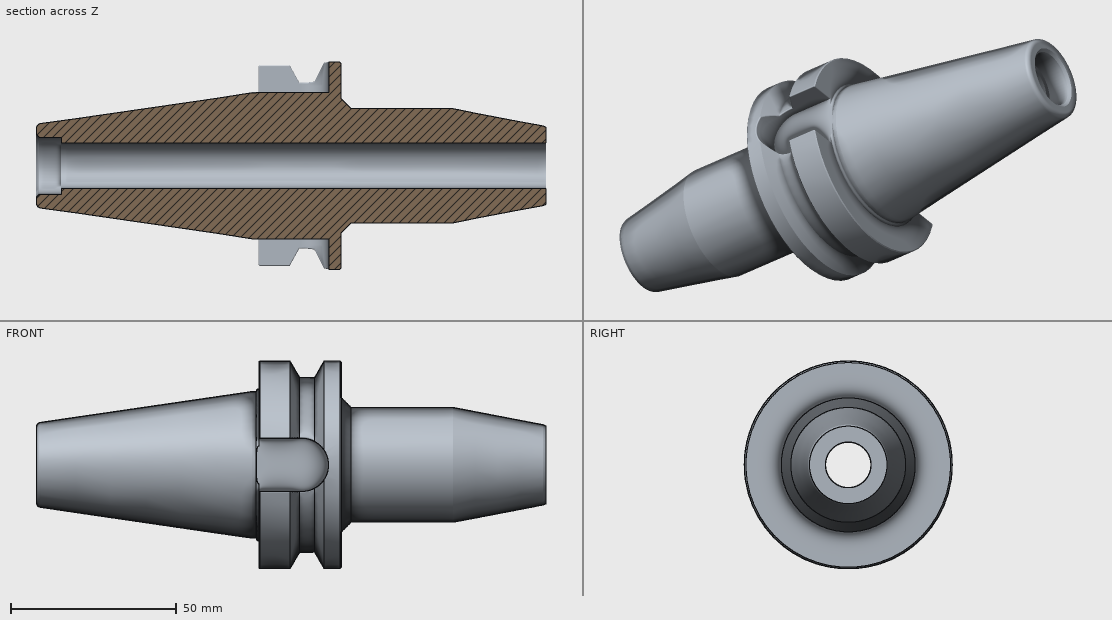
import cadquery as cq
import math


taper_length = 65.4
gauge_diameter = 44.45
taper_ratio = 7 / 24
taper_end_round = 1.5
neck_length = 2.0
neck_fillet = 0.8

flange_diameter = 63.0
flange_width = 25.0
edge_break = 0.3
nose_side_rim_chamfer = 0.5
groove_floor_diameter = 53.0
groove_floor_width = 4.6
groove_center_offset = 14.6
groove_side_angle = 30.0

slot_width = 16.1
slot_depth_along_axis = 21.1
slot_floor_height = 22.3

nose_diameter = 34.8
nose_tip_diameter = 24.3
collar_chamfer = 2.9
nose_straight_end = 126.2
total_length = 154.4
nose_tip_chamfer_length = 0.9
nose_tip_chamfer_depth = 0.4

entry_bore_diameter = 17.15
entry_bore_depth = 7.6
entry_chamfer = 0.85
through_bore_diameter = 13.72

taper_end_radius = (gauge_diameter - taper_length * taper_ratio) / 2
flange_start = taper_length + neck_length
flange_end = flange_start + flange_width
gauge_radius = gauge_diameter / 2
flange_radius = flange_diameter / 2
groove_floor_radius = groove_floor_diameter / 2
groove_center = flange_start + groove_center_offset
groove_side_run = (flange_radius - groove_floor_radius) * math.tan(math.radians(groove_side_angle))
groove_floor_half = groove_floor_width / 2
groove_mouth_half = groove_floor_half + groove_side_run
nose_radius = nose_diameter / 2


def revolve_about_x(profile):
    """Turn a closed profile in the XZ plane a full turn about the X axis."""
    return profile.close().revolve(360, (0, 0, 0), (1, 0, 0))


def make_body():
    """Taper, grooved flange and nose as one turned solid."""
    profile = (
        cq.Workplane("XZ")
        .moveTo(0, 0)
        .lineTo(0, taper_end_radius)
        .lineTo(taper_length, gauge_radius)
        .lineTo(flange_start - neck_fillet, gauge_radius)
        .radiusArc((flange_start, gauge_radius + neck_fillet), neck_fillet)
        .lineTo(flange_start, flange_radius - edge_break)
        .lineTo(flange_start + edge_break, flange_radius)
        .lineTo(groove_center - groove_mouth_half, flange_radius)
        .lineTo(groove_center - groove_floor_half, groove_floor_radius)
        .lineTo(groove_center + groove_floor_half, groove_floor_radius)
        .lineTo(groove_center + groove_mouth_half, flange_radius)
        .lineTo(flange_end - nose_side_rim_chamfer, flange_radius)
        .lineTo(flange_end, flange_radius - nose_side_rim_chamfer)
        .lineTo(flange_end, nose_radius + collar_chamfer)
        .lineTo(flange_end + collar_chamfer, nose_radius)
        .lineTo(nose_straight_end, nose_radius)
        .lineTo(total_length - nose_tip_chamfer_length, nose_tip_diameter / 2)
        .lineTo(total_length, nose_tip_diameter / 2 - nose_tip_chamfer_depth)
        .lineTo(total_length, 0)
    )
    return revolve_about_x(profile).faces("<X").edges().fillet(taper_end_round)


def make_drive_slot(side):
    """Round-ended cutter for the slot on the +Y (side = 1) or -Y (side = -1) side."""
    slot_half = slot_width / 2
    arc_center = flange_start + slot_depth_along_axis - slot_half
    outline = (
        cq.Workplane("XZ", origin=(0, side * slot_floor_height, 0))
        .moveTo(taper_length, -slot_half)
        .lineTo(arc_center, -slot_half)
        .threePointArc((arc_center + slot_half, 0), (arc_center, slot_half))
        .lineTo(taper_length, slot_half)
        .close()
    )
    return outline.extrude(-side * flange_radius)


def break_slot_edges(body, side):
    """Round the open edges of one drive slot, leaving its floor corners sharp."""
    slot_half = slot_width / 2
    floor_clearance = edge_break / 2
    slot_region = cq.selectors.BoxSelector(
        (taper_length, side * (slot_floor_height + floor_clearance), -slot_half - edge_break),
        (flange_end - nose_side_rim_chamfer, side * (flange_radius + edge_break), slot_half + edge_break),
    )
    return body.edges(slot_region).edges("(not |Y) or <X").fillet(edge_break)


def make_bore():
    """Stepped bore along the whole axis with a chamfered entry at the taper end."""
    entry_radius = entry_bore_diameter / 2
    through_radius = through_bore_diameter / 2
    profile = (
        cq.Workplane("XZ")
        .moveTo(0, 0)
        .lineTo(0, entry_radius + entry_chamfer)
        .lineTo(entry_chamfer, entry_radius)
        .lineTo(entry_bore_depth, entry_radius)
        .lineTo(entry_bore_depth, through_radius)
        .lineTo(total_length, through_radius)
        .lineTo(total_length, 0)
    )
    return revolve_about_x(profile)


result = make_body()
for side in (1, -1):
    result = result.cut(make_drive_slot(side))
    result = break_slot_edges(result, side)
result = result.cut(make_bore())